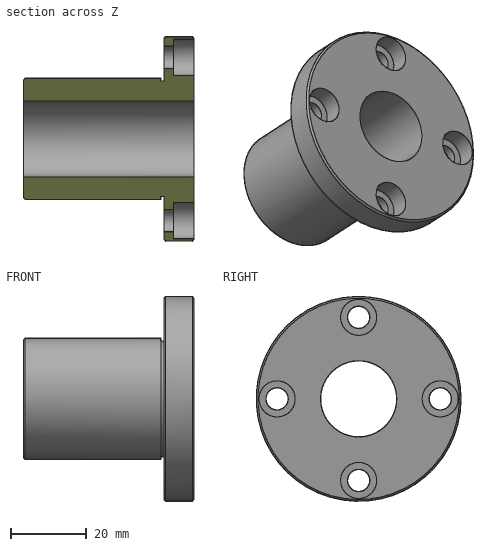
import cadquery as cq

flange_diameter = 54.0
total_length = 45.0
flange_thickness = 8.0
body_diameter = 32.0
bore_diameter = 20.0

groove_width = 0.75
groove_depth = 0.7

hole_count = 4
hole_diameter = 5.8
hole_circle_diameter = 43.0
counterbore_diameter = 9.5
counterbore_depth = 5.4

edge_chamfer = 0.5

flange_start = total_length - flange_thickness
body_length = flange_start - groove_width
groove_diameter = body_diameter - 2 * groove_depth


def cylinder(start, length, diameter):
    """Solid cylinder along X, beginning at X = start."""
    return cq.Workplane("YZ", origin=(start, 0, 0)).circle(diameter / 2).extrude(length)


body = cylinder(0, body_length, body_diameter).faces("<X").chamfer(edge_chamfer)

neck = cylinder(body_length, groove_width, groove_diameter)

flange = cylinder(flange_start, flange_thickness, flange_diameter).faces("<X or >X").chamfer(edge_chamfer)

bore = cylinder(0, total_length, bore_diameter)


def hole_pattern(start, length, diameter):
    """Cylinders evenly spaced on the hole circle, aligned with Y and Z."""
    return (
        cq.Workplane("YZ", origin=(start, 0, 0))
        .polarArray(hole_circle_diameter / 2, 0, 360, hole_count)
        .circle(diameter / 2)
        .extrude(length)
    )


mounting_holes = hole_pattern(flange_start, flange_thickness, hole_diameter)
counterbores = hole_pattern(total_length - counterbore_depth, counterbore_depth, counterbore_diameter)

result = body.union(neck).union(flange).cut(bore).cut(mounting_holes).cut(counterbores)